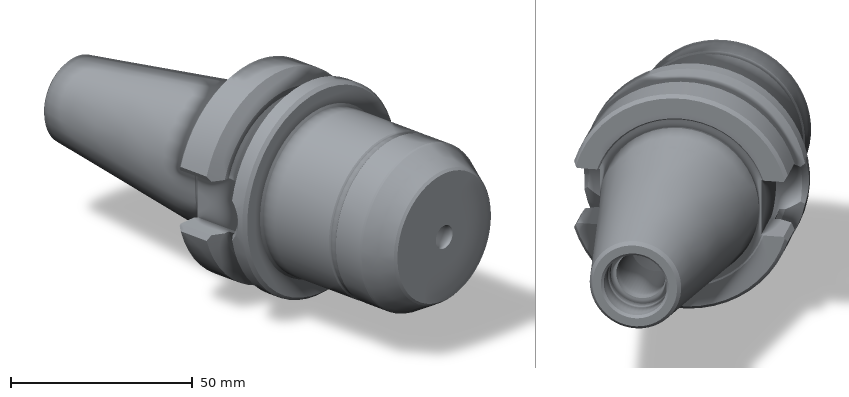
import cadquery as cq

LENGTH = 137.9
FLANGE_R = 63.0 / 2

TAPER_LENGTH = 65.4
TAPER_SMALL_R = 12.8
TAPER_LARGE_R = 22.2
TAPER_TIP_CHAMFER = 1.0
UNDERCUT_R = 44.0 / 2

FLANGE_START = 66.2
FLANGE_END = 92.4
FLANGE_CHAMFER = 1.0
RECESS_R = 24.3
RECESS_DEPTH = 0.5
RECESS_LIP = 0.4

V_START = 76.8
V_END = 87.2
V_SIDE_LENGTH = 2.8
V_SIDE_DEPTH = 4.7
V_FLOOR_R = 25.2

BODY_R = 49.2 / 2
NECK_BEVEL = 0.7
RING_GROOVE_R = 48.3 / 2
RING_GROOVE_START = 117.4
RING_GROOVE_END = 120.0
RING_GROOVE_BEVEL = BODY_R - RING_GROOVE_R
NOSE_START = 128.8
NOSE_EDGE_LENGTH = 0.5
NOSE_EDGE_DEPTH = 0.2
NOSE_TIP_R = 19.9
NOSE_TIP_CHAMFER = 0.7

SLOT_WIDTH = 16.1
SLOT_R = SLOT_WIDTH / 2
SLOT_FLOOR = 22.6
SLOT_END = 88.3
SLOT_CHAMFER = 1.7
SLOT_WALL_TOP = 29.0

BORE_MOUTH_R = 19.0 / 2
PILOT_R = 17.7 / 2
PILOT_DEPTH = 6.6
STEP_R = 17.0 / 2
STEP_DEPTH = 9.0
THREAD_R = 13.8 / 2
THREAD_DEPTH = 30.3
DRILL_TIP_LENGTH = 2.0
COOLANT_R = 6.9 / 2


def revolve_about_x(points):
    """Turn an (x, radius) outline about the X axis."""
    return cq.Workplane("XY").polyline(points).close().revolve(360, (0, 0, 0), (1, 0, 0))


def holder_blank():
    recess_floor = FLANGE_START + RECESS_DEPTH
    v_side_r = FLANGE_R - V_SIDE_DEPTH
    nose_taper_start = NOSE_START + NOSE_EDGE_LENGTH
    return revolve_about_x([
        (0, 0),
        (0, TAPER_SMALL_R - TAPER_TIP_CHAMFER),
        (TAPER_TIP_CHAMFER, TAPER_SMALL_R),
        (TAPER_LENGTH, TAPER_LARGE_R),
        (TAPER_LENGTH, UNDERCUT_R),
        (recess_floor, UNDERCUT_R),
        (recess_floor, RECESS_R),
        (FLANGE_START + RECESS_LIP, RECESS_R),
        (FLANGE_START, RECESS_R + RECESS_LIP),
        (FLANGE_START, FLANGE_R - FLANGE_CHAMFER),
        (FLANGE_START + FLANGE_CHAMFER, FLANGE_R),
        (V_START, FLANGE_R),
        (V_START + V_SIDE_LENGTH, v_side_r),
        (V_START + V_SIDE_LENGTH, V_FLOOR_R),
        (V_END - V_SIDE_LENGTH, V_FLOOR_R),
        (V_END - V_SIDE_LENGTH, v_side_r),
        (V_END, FLANGE_R),
        (FLANGE_END - FLANGE_CHAMFER, FLANGE_R),
        (FLANGE_END, FLANGE_R - FLANGE_CHAMFER),
        (FLANGE_END, BODY_R + NECK_BEVEL),
        (FLANGE_END + NECK_BEVEL, BODY_R),
        (RING_GROOVE_START, BODY_R),
        (RING_GROOVE_START + RING_GROOVE_BEVEL, RING_GROOVE_R),
        (RING_GROOVE_END - RING_GROOVE_BEVEL, RING_GROOVE_R),
        (RING_GROOVE_END, BODY_R),
        (NOSE_START, BODY_R),
        (nose_taper_start, BODY_R - NOSE_EDGE_DEPTH),
        (LENGTH - NOSE_TIP_CHAMFER, NOSE_TIP_R),
        (LENGTH, NOSE_TIP_R - NOSE_TIP_CHAMFER),
        (LENGTH, 0),
    ])


def bore():
    mouth_depth = BORE_MOUTH_R - PILOT_R
    step_start = PILOT_DEPTH + PILOT_R - STEP_R
    cone_end = THREAD_DEPTH + DRILL_TIP_LENGTH
    return revolve_about_x([
        (0, 0),
        (0, BORE_MOUTH_R),
        (mouth_depth, PILOT_R),
        (PILOT_DEPTH, PILOT_R),
        (step_start, STEP_R),
        (STEP_DEPTH, STEP_R),
        (STEP_DEPTH, THREAD_R),
        (THREAD_DEPTH, THREAD_R),
        (cone_end, COOLANT_R),
        (LENGTH, COOLANT_R),
        (LENGTH, 0),
    ])


def drive_slot():
    """Cutter for the -Y slot: round-ended channel with its outer edges chamfered."""
    arc_center = SLOT_END - SLOT_R
    channel = (
        cq.Workplane("XZ", origin=(0, -SLOT_FLOOR, 0))
        .moveTo(TAPER_LENGTH, -SLOT_R)
        .lineTo(arc_center, -SLOT_R)
        .threePointArc((SLOT_END, 0), (arc_center, SLOT_R))
        .lineTo(TAPER_LENGTH, SLOT_R)
        .close()
        .extrude(FLANGE_R - SLOT_FLOOR)
    )
    outer_half = SLOT_R + SLOT_CHAMFER
    rim_y = (FLANGE_R**2 - outer_half**2) ** 0.5
    side_slope = SLOT_CHAMFER / (rim_y - SLOT_WALL_TOP)
    flare_half = SLOT_R + side_slope * (FLANGE_R - SLOT_WALL_TOP)
    side_chamfers = (
        cq.Workplane("YZ", origin=(TAPER_LENGTH, 0, 0))
        .polyline([
            (-SLOT_WALL_TOP, -SLOT_R),
            (-FLANGE_R, -flare_half),
            (-FLANGE_R, flare_half),
            (-SLOT_WALL_TOP, SLOT_R),
        ])
        .close()
        .extrude(V_START + V_SIDE_LENGTH - TAPER_LENGTH)
    )
    end_chamfer = cq.Workplane(cq.Solid.makeCone(
        SLOT_R,
        outer_half,
        SLOT_CHAMFER,
        cq.Vector(arc_center, SLOT_CHAMFER - FLANGE_R, 0),
        cq.Vector(0, -1, 0),
    ))
    return channel.union(side_chamfers).union(end_chamfer)


slot = drive_slot()
result = holder_blank().cut(bore()).cut(slot).cut(slot.mirror("XZ"))